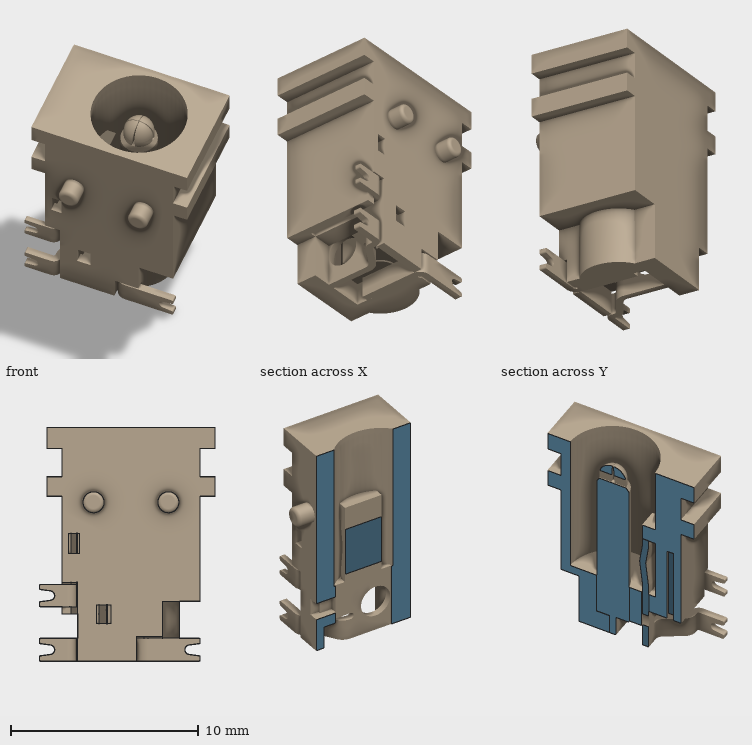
import cadquery as cq
import math

HEIGHT = 12.5
DEPTH = 6.0
FRONT = -DEPTH / 2
BACK = DEPTH / 2

FLANGE_LEFT, FLANGE_RIGHT = -5.0, 4.0
FLANGE_STEP = 0.8
BODY_LEFT = FLANGE_LEFT + FLANGE_STEP
BODY_RIGHT = FLANGE_RIGHT - FLANGE_STEP
TOP_FLANGE_BOTTOM = 11.38
LOW_FLANGE_BOTTOM, LOW_FLANGE_TOP = 8.81, 9.88
BODY_BOTTOM = 2.52
BODY_BOTTOM_RIGHT = 3.2
BASE_LEFT, BASE_RIGHT = -3.35, 1.19

BORE_RADIUS = 2.6
BORE_FLOOR = 3.75
BARREL_RADIUS = 2.1
BARREL_FLAT = -1.76
CHANNEL_TOP = 1.34

PEG_RADIUS = 0.56
PEG_LENGTH = 1.0
PEG_FILLET = 0.2
PEG_HEIGHT = 8.5
PEG_SPACING = 4.0
FLANGE_CENTRE = (FLANGE_LEFT + FLANGE_RIGHT) / 2
PEG_PLACES = [FLANGE_CENTRE - PEG_SPACING / 2, FLANGE_CENTRE + PEG_SPACING / 2]

TAIL_OVERHANG = 0.4
TAIL_LEFT = FLANGE_LEFT - TAIL_OVERHANG
SHEET = 0.4
THIN_SHEET = 0.3
LOW_TAIL_HEIGHT = 1.24
HIGH_TAIL_BOTTOM = 2.91
HIGH_TAIL_HEIGHT = 1.2
PLATE_HALF_WIDTH = 1.75
TAIL_BEND_FACE = -3.4
TAIL_CORNER = 0.09
NOTCH_DEPTH = 0.81
NOTCH_HALF_MOUTH = 0.32
NOTCH_END_RADIUS = 0.25

CONTACT_RIGHT = -1.81
CONTACT_LEFT = CONTACT_RIGHT - SHEET
S_BEND_ANGLE = math.radians(58)
S_BEND_END = -1.15
TAIL_INNER_RADIUS = 0.1
S_BEND_RADII = (0.25, 0.41)
PLATE_HOLE_RADIUS = 0.92
PLATE_HOLE_Y, PLATE_HOLE_Z = 0.79, 1.82
RELIEF_TOP = 1.62
RELIEF_END = -0.61
RELIEF_CORNER = 0.18
ARM_HALF_WIDTH = 1.16
ARM_KNEE_HEIGHT = 4.25
ARM_CREST_OFFSET, ARM_CREST_HEIGHT = 0.19, 5.88
ARM_UPPER_KNEE_HEIGHT, ARM_TOP = 7.12, 7.5
ARM_RADIUS = 0.5

SWITCH_RIGHT = TAIL_BEND_FACE
SWITCH_LEFT = SWITCH_RIGHT - THIN_SHEET
SWITCH_TOP = 7.25
SWITCH_INNER_RADIUS = 0.2

PIN_RADIUS = 1.0
PIN_SHOULDER = 10.44
NECK_RADIUS = 0.82
NECK_BOTTOM = 10.69
DOME_BASE = 11.06
SLIT_WIDTH_BASE, SLIT_WIDTH_TOP = 0.2, 0.02
PIN_TAIL_RIGHT = BODY_RIGHT
PIN_TAIL_INNER_RADIUS = 0.2
PIN_TAIL_BACK = 1.08

SKIN = 0.5
TAIL_RECESS_DEPTH = 0.4
TAIL_RECESS_TOP = 4.21
BEND_ROOM = 0.1
LEDGE_TOP = 8.5
SWITCH_WINDOW = (-3.85, -3.25, 5.78, 6.84)
CONTACT_WINDOW = (-2.35, -1.56, 2.01, 3.01)


def block(x0, x1, y0, y1, z0, z1):
    """Box between opposite corners."""
    return cq.Workplane("XY").box(x1 - x0, y1 - y0, z1 - z0, centered=False).translate((x0, y0, z0))


def cylinder(radius, bottom, top):
    """Round bar on the Z axis."""
    return cq.Workplane("XY").workplane(offset=bottom).circle(radius).extrude(top - bottom)


def unit(start, end):
    """Direction from one point to another."""
    length = math.dist(start, end)
    return ((end[0] - start[0]) / length, (end[1] - start[1]) / length)


def strip_side(path, inner_radii, thickness, side):
    """Bend arcs of one face of a bent strip, as (start, middle, end); side is +1 left, -1 right."""
    half = side * thickness / 2
    arcs = []
    for before, corner, after, inner in zip(path, path[1:], path[2:], inner_radii):
        ax, ay = unit(before, corner)
        bx, by = unit(corner, after)
        turn = math.atan2(ax * by - ay * bx, ax * bx + ay * by)
        tangent = math.tan(abs(turn) / 2)
        shift = half * math.tan(turn / 2)
        x = corner[0] - half * ay - shift * ax
        y = corner[1] + half * ax - shift * ay
        radius = inner if turn * side > 0 else inner + thickness
        run = radius * tangent
        bulge = radius * (1 / math.cos(turn / 2) - 1)
        toward_centre = unit((ax, ay), (bx, by))
        arcs.append((
            (x - run * ax, y - run * ay),
            (x + bulge * toward_centre[0], y + bulge * toward_centre[1]),
            (x + run * bx, y + run * by),
        ))
    return arcs


def strip_end(point, direction, thickness, side):
    """Corner of a strip's square-cut end, on the given side of its centre line."""
    half = side * thickness / 2
    return (point[0] - half * direction[1], point[1] + half * direction[0])


def bent_strip(plane, path, inner_radii, thickness, width):
    """Sheet strip that follows a centre line in the plane, rounded at each bend."""
    first = unit(path[0], path[1])
    last = unit(path[-2], path[-1])
    outline = cq.Workplane(plane).moveTo(*strip_end(path[0], first, thickness, 1))
    for start, middle, end in strip_side(path, inner_radii, thickness, 1):
        outline = outline.lineTo(*start).threePointArc(middle, end)
    outline = outline.lineTo(*strip_end(path[-1], last, thickness, 1))
    outline = outline.lineTo(*strip_end(path[-1], last, thickness, -1))
    for start, middle, end in reversed(strip_side(path, inner_radii, thickness, -1)):
        outline = outline.lineTo(*end).threePointArc(middle, start)
    return outline.lineTo(*strip_end(path[0], first, thickness, -1)).close().extrude(width)


def fork_notch(end_x, inward, centre_z):
    """Round-ended notch in the free end of a solder tail; inward is +1 or -1 along X."""
    slope = math.asin((NOTCH_HALF_MOUTH - NOTCH_END_RADIUS) / (NOTCH_DEPTH - NOTCH_END_RADIUS))
    arc_x = end_x + inward * (NOTCH_DEPTH - NOTCH_END_RADIUS * (1 - math.sin(slope)))
    arc_z = NOTCH_END_RADIUS * math.cos(slope)
    return (
        cq.Workplane("XZ", origin=(0, BACK, 0))
        .moveTo(end_x, centre_z + NOTCH_HALF_MOUTH)
        .lineTo(arc_x, centre_z + arc_z)
        .threePointArc((end_x + inward * NOTCH_DEPTH, centre_z), (arc_x, centre_z - arc_z))
        .lineTo(end_x, centre_z - NOTCH_HALF_MOUTH)
        .close()
        .extrude(DEPTH)
    )


def forked(strip, end_x, inward, centre_z):
    """Notch the tail's free end and round the corners of its prongs."""
    end_face = "<X" if inward > 0 else ">X"
    return strip.cut(fork_notch(end_x, inward, centre_z)).faces(end_face).edges("|Y").fillet(TAIL_CORNER)


def make_housing():
    body = block(BODY_LEFT, BASE_RIGHT, FRONT, BACK, BODY_BOTTOM, HEIGHT)
    body = body.union(block(BASE_RIGHT, BODY_RIGHT, FRONT, BACK, BODY_BOTTOM_RIGHT, HEIGHT))
    for bottom, top in ((TOP_FLANGE_BOTTOM, HEIGHT), (LOW_FLANGE_BOTTOM, LOW_FLANGE_TOP)):
        body = body.union(block(FLANGE_LEFT, FLANGE_RIGHT, FRONT, BACK, bottom, top))
    body = body.union(block(BASE_LEFT, BASE_RIGHT, FRONT, BACK, 0, BODY_BOTTOM))

    pocket_half = PLATE_HALF_WIDTH
    body = body.cut(block(BASE_LEFT, BASE_RIGHT, -pocket_half, pocket_half, 0, BODY_BOTTOM))
    body = body.cut(block(CONTACT_LEFT, 0, -pocket_half, pocket_half, 0, BORE_FLOOR))

    barrel = cylinder(BARREL_RADIUS, 0, BORE_FLOOR)
    flat = block(BARREL_FLAT, BARREL_RADIUS, -BARREL_RADIUS, BARREL_RADIUS, 0, BORE_FLOOR)
    body = body.union(barrel.intersect(flat))

    tail_side = SHEET / 2
    skin_back = FRONT + SKIN
    body = body.cut(block(BASE_LEFT, tail_side, skin_back, pocket_half, 0, CHANNEL_TOP))
    body = body.cut(block(-tail_side, BASE_RIGHT, FRONT, skin_back, 0, CHANNEL_TOP))
    bend_right = tail_side + PIN_TAIL_INNER_RADIUS
    bend_back = FRONT + SHEET + PIN_TAIL_INNER_RADIUS
    body = body.cut(block(tail_side, bend_right, skin_back, bend_back, 0, LOW_TAIL_HEIGHT))

    bore = cylinder(BORE_RADIUS, BORE_FLOOR, HEIGHT)
    ledge = block(-BORE_RADIUS, CONTACT_RIGHT, -ARM_HALF_WIDTH, ARM_HALF_WIDTH, ARM_TOP, LEDGE_TOP)
    body = body.cut(bore.cut(ledge))
    body = body.cut(cylinder(PIN_RADIUS, LOW_TAIL_HEIGHT, BORE_FLOOR))

    recess_back = FRONT + TAIL_RECESS_DEPTH
    body = body.cut(block(BODY_LEFT, BASE_LEFT, FRONT, recess_back, BODY_BOTTOM, TAIL_RECESS_TOP))
    body = body.cut(block(SWITCH_LEFT, BASE_LEFT, recess_back, pocket_half, BODY_BOTTOM, TAIL_RECESS_TOP))
    body = body.cut(block(SWITCH_LEFT, BASE_LEFT, -pocket_half, pocket_half, TAIL_RECESS_TOP, SWITCH_TOP))
    room_left = SWITCH_LEFT - BEND_ROOM
    room_back = recess_back + BEND_ROOM
    high_tail_top = HIGH_TAIL_BOTTOM + HIGH_TAIL_HEIGHT
    body = body.cut(block(room_left, SWITCH_LEFT, recess_back, room_back, HIGH_TAIL_BOTTOM, high_tail_top))

    for window, slot_left, slot_right in (
        (SWITCH_WINDOW, SWITCH_LEFT, BASE_LEFT),
        (CONTACT_WINDOW, CONTACT_LEFT, BARREL_FLAT),
    ):
        left, right, bottom, top = window
        body = body.cut(block(left, right, FRONT, skin_back, bottom, top))
        body = body.cut(block(slot_left, slot_right, skin_back, -pocket_half, bottom, top))

    for x in PEG_PLACES:
        peg = cq.Workplane("XZ", origin=(x, FRONT, PEG_HEIGHT)).circle(PEG_RADIUS).extrude(PEG_LENGTH)
        body = body.union(peg.faces("<Y").edges().fillet(PEG_FILLET))
    return body


def make_main_contact():
    tail_y = FRONT + SHEET / 2
    side_x = TAIL_BEND_FACE - SHEET / 2
    plate_x = (CONTACT_LEFT + CONTACT_RIGHT) / 2
    s_bend_start = S_BEND_END - (plate_x - side_x) / math.tan(S_BEND_ANGLE)
    path = [
        (TAIL_LEFT, tail_y),
        (side_x, tail_y),
        (side_x, s_bend_start),
        (plate_x, S_BEND_END),
        (plate_x, 0),
    ]
    tail = bent_strip("XY", path, (TAIL_INNER_RADIUS, *S_BEND_RADII), SHEET, LOW_TAIL_HEIGHT)
    tail = forked(tail, TAIL_LEFT, 1, LOW_TAIL_HEIGHT / 2)

    edge = PLATE_HALF_WIDTH
    plate = block(CONTACT_LEFT, CONTACT_RIGHT, -edge, edge, LOW_TAIL_HEIGHT, BORE_FLOOR)
    plate = plate.union(block(CONTACT_LEFT, CONTACT_RIGHT, 0, edge, 0, LOW_TAIL_HEIGHT))
    relief = block(CONTACT_LEFT, CONTACT_RIGHT, -DEPTH, RELIEF_END, LOW_TAIL_HEIGHT, RELIEF_TOP)
    plate = plate.cut(relief.edges("|X and >Y").fillet(RELIEF_CORNER))
    hole = cq.Workplane("YZ", origin=(CONTACT_LEFT, PLATE_HOLE_Y, PLATE_HOLE_Z))
    hole = hole.circle(PLATE_HOLE_RADIUS).extrude(SHEET)

    arm_path = [
        (plate_x, BORE_FLOOR),
        (plate_x, ARM_KNEE_HEIGHT),
        (plate_x + ARM_CREST_OFFSET, ARM_CREST_HEIGHT),
        (plate_x, ARM_UPPER_KNEE_HEIGHT),
        (plate_x, ARM_TOP),
    ]
    arm_radii = [ARM_RADIUS] * (len(arm_path) - 2)
    arm = bent_strip("XZ", arm_path, arm_radii, SHEET, 2 * ARM_HALF_WIDTH).translate((0, ARM_HALF_WIDTH, 0))
    return tail.union(plate).cut(hole).union(arm)


def make_switch_contact():
    tail_y = FRONT + THIN_SHEET / 2
    plate_x = (SWITCH_LEFT + SWITCH_RIGHT) / 2
    path = [(TAIL_LEFT, tail_y), (plate_x, tail_y), (plate_x, 0)]
    tail = bent_strip("XY", path, (SWITCH_INNER_RADIUS,), THIN_SHEET, HIGH_TAIL_HEIGHT)
    tail = tail.translate((0, 0, HIGH_TAIL_BOTTOM))
    tail = forked(tail, TAIL_LEFT, 1, HIGH_TAIL_BOTTOM + HIGH_TAIL_HEIGHT / 2)
    edge = PLATE_HALF_WIDTH
    plate = block(SWITCH_LEFT, SWITCH_RIGHT, -edge, edge, HIGH_TAIL_BOTTOM, SWITCH_TOP)
    return tail.union(plate)


def make_pin():
    dome_top = DOME_BASE + NECK_RADIUS
    dome_side = NECK_RADIUS * math.sqrt(0.5)
    pin = (
        cq.Workplane("XZ")
        .moveTo(0, LOW_TAIL_HEIGHT)
        .lineTo(PIN_RADIUS, LOW_TAIL_HEIGHT)
        .lineTo(PIN_RADIUS, PIN_SHOULDER)
        .lineTo(NECK_RADIUS, NECK_BOTTOM)
        .lineTo(NECK_RADIUS, DOME_BASE)
        .threePointArc((dome_side, DOME_BASE + dome_side), (0, dome_top))
        .close()
        .revolve(360, (0, 0, 0), (0, 1, 0))
    )

    for plane in ("XZ", "YZ"):
        slit = (
            cq.Workplane(plane)
            .moveTo(-SLIT_WIDTH_BASE / 2, NECK_BOTTOM)
            .lineTo(SLIT_WIDTH_BASE / 2, NECK_BOTTOM)
            .lineTo(SLIT_WIDTH_TOP / 2, dome_top)
            .lineTo(-SLIT_WIDTH_TOP / 2, dome_top)
            .close()
            .extrude(PIN_RADIUS, both=True)
        )
        pin = pin.cut(slit)

    tail_y = FRONT + SHEET / 2
    path = [(PIN_TAIL_RIGHT, tail_y), (0, tail_y), (0, PIN_TAIL_BACK)]
    tail = bent_strip("XY", path, (PIN_TAIL_INNER_RADIUS,), SHEET, LOW_TAIL_HEIGHT)
    return pin.union(forked(tail, PIN_TAIL_RIGHT, -1, LOW_TAIL_HEIGHT / 2))


housing = make_housing()
main_contact = make_main_contact()
switch_contact = make_switch_contact()
pin = make_pin()

bodies = (housing, main_contact, switch_contact, pin)
result = cq.Compound.makeCompound([body.solids().val() for body in bodies])